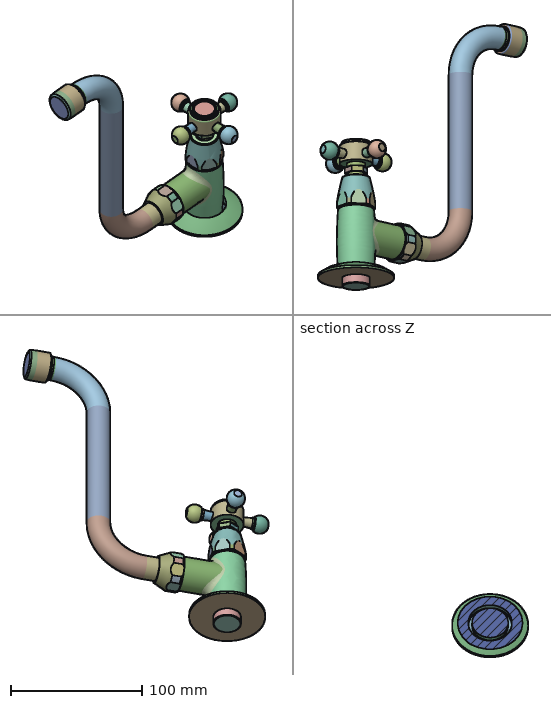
import cadquery as cq
import math


HANDLE_SPAN = 64.07
TOTAL_LENGTH = 190.44
TOTAL_HEIGHT = 233.8
HANDLE_REACH = HANDLE_SPAN / 2
SHANK_DEPTH = 6.7
SPOUT_END = TOTAL_LENGTH - HANDLE_REACH

SHANK_RADIUS = 10.6
SHANK_CHAMFER = 0.5
FLANGE_RADIUS = 29.1
FLANGE_RIM_HEIGHT = 1.9
FLANGE_HEIGHT = 8.0
FLANGE_HOLE_RADIUS = 16.5
FLANGE_HOLE_DEPTH = 7.0
FLANGE_BULGE = 0.9

BODY_FOOT_RADIUS = 13.8
BODY_WAIST_RADIUS = 14.7
BODY_SHOULDER_RADIUS = 13.9
BODY_TOP = 54.2

BONNET_FOOT = 55.6
BONNET_SHOULDER = 60.0
BONNET_TOP = 79.7
BONNET_RADIUS = 14.7
BONNET_MID_HEIGHT = 68.0
BONNET_MID_RADIUS = 13.3
BONNET_TOP_RADIUS = 10.8
BONNET_TOP_CHAMFER = 0.7
BONNET_FLAT_DISTANCE = 13.5

SPINDLE_RADIUS = 6.6
SPINDLE_NUT_FOOT = 82.9
SPINDLE_NUT_TOP = 87.3
SPINDLE_NUT_FLAT_DISTANCE = 7.6
SPINDLE_NECK_RADIUS = 7.2

HUB_RADIUS = 12.6
HUB_FOOT = 90.6
HUB_TOP = 105.2
HUB_FILLET = 0.8
CAP_NECK_RADIUS = 10.6
CAP_RADIUS = 11.1
CAP_FOOT = 105.7
CAP_TOP = 107.6
CAP_CHAMFER = 0.5
CAP_RECESS_RADIUS = 9.1
CAP_RECESS_FLOOR_RADIUS = 7.9
CAP_RECESS_DEPTH = 0.4

ARM_HEIGHT = 96.5
ARM_COUNT = 4
ARM_RADIUS = 4.1
ARM_ROOT_RADIUS = 3.7
ARM_MID_RADIUS = 3.8
BEAD_START = 18.7
BEAD_END = 21.3
BEAD_LAND = 0.6
BEAD_BULGE = 0.5
BALL_RADIUS = 7.1
BALL_FLAT_RADIUS = 3.1
BALL_CENTER = HANDLE_REACH - math.sqrt(BALL_RADIUS**2 - BALL_FLAT_RADIUS**2)

OUTLET_HEIGHT = 35.1
OUTLET_RADIUS = 13.3
OUTLET_BLEND = 5.0
BLEND_MARGIN = 1.0
NUT_START = 37.3
NUT_CHAMFER_END = 38.8
NUT_CONE_START = 46.0
NUT_END = 55.9
NUT_RADIUS = 15.1
NUT_START_RADIUS = 14.5
NUT_END_RADIUS = 10.6
NUT_FLAT_DISTANCE = 14.3

PIPE_RADIUS = 9.15
PIPE_BEND_RADIUS = 36.0
RISER_DISTANCE = 101.6
HEAD_RADIUS = 11.75
HEAD_HEIGHT = TOTAL_HEIGHT - SHANK_DEPTH - HEAD_RADIUS

HEAD_COLLAR_RADIUS = 9.7
HEAD_COLLAR_START = 139.0
HEAD_COLLAR_LIP = 1.5
HEAD_START = 141.7
HEAD_BACK_FILLET = 0.8
HEAD_CROWN_START = 152.8
HEAD_CROWN_END = 157.4
HEAD_CROWN_RADIUS = 11.4
HEAD_FACE_RADIUS = 9.6

HEX_SIDES = 6


def hexagon(flat_distance, height):
    """Hexagonal prism on the XY plane, two corners on X, flats at the given distance from its axis."""
    across_corners = 2 * flat_distance / math.cos(math.pi / HEX_SIDES)
    return cq.Workplane("XY").polygon(HEX_SIDES, across_corners).extrude(height)


def cylinder(radius, bottom, top):
    """Vertical cylinder on the Z axis."""
    return cq.Workplane("XY").workplane(offset=bottom).circle(radius).extrude(top - bottom)


def point_to_spout(shape, height):
    """Lay a shape built along +Z on its side, running to -Y at the given height."""
    return shape.rotate((0, 0, 0), (1, 0, 0), 90).translate((0, 0, height))


def make_flange():
    """Domed flange with a sunk ring around the body, and the shank below it."""
    dome_mid_radius = (FLANGE_RADIUS + FLANGE_HOLE_RADIUS) / 2
    dome_mid_height = (FLANGE_RIM_HEIGHT + FLANGE_HEIGHT) / 2 + FLANGE_BULGE
    dish = (
        cq.Workplane("XZ")
        .moveTo(0, 0)
        .lineTo(FLANGE_RADIUS, 0)
        .lineTo(FLANGE_RADIUS, FLANGE_RIM_HEIGHT)
        .threePointArc((dome_mid_radius, dome_mid_height), (FLANGE_HOLE_RADIUS, FLANGE_HEIGHT))
        .lineTo(FLANGE_HOLE_RADIUS, FLANGE_HEIGHT - FLANGE_HOLE_DEPTH)
        .lineTo(0, FLANGE_HEIGHT - FLANGE_HOLE_DEPTH)
        .close()
        .revolve(360, (0, 0, 0), (0, 1, 0))
    )
    shank = cylinder(SHANK_RADIUS, -SHANK_DEPTH, 0).faces("<Z").chamfer(SHANK_CHAMFER)
    return dish.union(shank)


def make_body():
    """Barrel body blended into the horizontal outlet tube."""
    foot = FLANGE_HEIGHT - FLANGE_HOLE_DEPTH
    barrel = (
        cq.Workplane("XZ")
        .moveTo(0, foot)
        .lineTo(BODY_FOOT_RADIUS, foot)
        .threePointArc((BODY_WAIST_RADIUS, OUTLET_HEIGHT), (BODY_SHOULDER_RADIUS, BODY_TOP))
        .lineTo(0, BODY_TOP)
        .close()
        .revolve(360, (0, 0, 0), (0, 1, 0))
    )
    outlet = point_to_spout(cylinder(OUTLET_RADIUS, 0, NUT_START), OUTLET_HEIGHT)
    blend_zone = cq.selectors.BoxSelector(
        (-BODY_WAIST_RADIUS, -BODY_WAIST_RADIUS, foot + BLEND_MARGIN),
        (BODY_WAIST_RADIUS, -BLEND_MARGIN, BODY_TOP - BLEND_MARGIN),
    )
    return barrel.union(outlet).edges(blend_zone).fillet(OUTLET_BLEND)


def make_bonnet():
    """Tapered bonnet whose lower part is cut by six flats, on a short round seat."""
    chamfer_foot = BONNET_TOP - BONNET_TOP_CHAMFER
    taper = (
        cq.Workplane("XZ")
        .moveTo(0, BONNET_FOOT)
        .lineTo(BONNET_RADIUS, BONNET_FOOT)
        .lineTo(BONNET_RADIUS, BONNET_SHOULDER)
        .threePointArc((BONNET_MID_RADIUS, BONNET_MID_HEIGHT), (BONNET_TOP_RADIUS, chamfer_foot))
        .lineTo(BONNET_TOP_RADIUS - BONNET_TOP_CHAMFER, BONNET_TOP)
        .lineTo(0, BONNET_TOP)
        .close()
        .revolve(360, (0, 0, 0), (0, 1, 0))
    )
    flats = hexagon(BONNET_FLAT_DISTANCE, BONNET_TOP)
    seat = cylinder(BONNET_FLAT_DISTANCE, BODY_TOP, BONNET_FOOT)
    return taper.intersect(flats).union(seat)


def make_spindle():
    """Spindle with a hexagonal nut, joining the bonnet to the handle hub."""
    spindle = cylinder(SPINDLE_RADIUS, BONNET_TOP, SPINDLE_NUT_FOOT)
    nut = hexagon(SPINDLE_NUT_FLAT_DISTANCE, SPINDLE_NUT_TOP - SPINDLE_NUT_FOOT)
    neck = cylinder(SPINDLE_NECK_RADIUS, SPINDLE_NUT_TOP, HUB_FOOT)
    return spindle.union(nut.translate((0, 0, SPINDLE_NUT_FOOT))).union(neck)


def make_arm():
    """One handle arm along +X: a rod, a bead and a ball with a flat tip."""
    waist = (HUB_RADIUS + BEAD_START) / 2
    bead_middle = (BEAD_START + BEAD_END) / 2
    bead_left = BEAD_START + BEAD_LAND
    bead_right = BEAD_END - BEAD_LAND
    ball_back_radius = math.sqrt(BALL_RADIUS**2 - (BALL_CENTER - BEAD_END) ** 2)
    return (
        cq.Workplane("XY")
        .moveTo(0, 0)
        .lineTo(0, ARM_ROOT_RADIUS)
        .lineTo(HUB_RADIUS, ARM_ROOT_RADIUS)
        .threePointArc((waist, ARM_MID_RADIUS), (BEAD_START, ARM_RADIUS))
        .lineTo(bead_left, ARM_RADIUS)
        .threePointArc((bead_middle, ARM_RADIUS + BEAD_BULGE), (bead_right, ARM_RADIUS))
        .lineTo(BEAD_END, ARM_RADIUS)
        .lineTo(BEAD_END, ball_back_radius)
        .threePointArc((BALL_CENTER, BALL_RADIUS), (HANDLE_REACH, BALL_FLAT_RADIUS))
        .lineTo(HANDLE_REACH, 0)
        .close()
        .revolve(360, (0, 0, 0), (1, 0, 0))
        .translate((0, 0, ARM_HEIGHT))
    )


def make_handle():
    """Cross handle: hub, capped top and four equal arms."""
    hub = cylinder(HUB_RADIUS, HUB_FOOT, HUB_TOP).faces(">Z").edges().fillet(HUB_FILLET)
    neck = cylinder(CAP_NECK_RADIUS, HUB_TOP, CAP_FOOT)
    cap = cylinder(CAP_RADIUS, CAP_FOOT, CAP_TOP).faces(">Z").chamfer(CAP_CHAMFER)
    recess = cq.Workplane("XY").add(
        cq.Solid.makeCone(
            CAP_RECESS_FLOOR_RADIUS,
            CAP_RECESS_RADIUS,
            CAP_RECESS_DEPTH,
            cq.Vector(0, 0, CAP_TOP - CAP_RECESS_DEPTH),
        )
    )
    handle = hub.union(neck).union(cap.cut(recess))
    arm = make_arm()
    for index in range(ARM_COUNT):
        turned_arm = arm.rotate((0, 0, 0), (0, 0, 1), index * 360 / ARM_COUNT)
        handle = handle.union(turned_arm)
    return handle


def make_coupling_nut():
    """Conical coupling nut with six flats, one of them facing up."""
    nut = (
        cq.Workplane("XZ")
        .moveTo(0, NUT_START)
        .lineTo(NUT_START_RADIUS, NUT_START)
        .lineTo(NUT_RADIUS, NUT_CHAMFER_END)
        .lineTo(NUT_RADIUS, NUT_CONE_START)
        .lineTo(NUT_END_RADIUS, NUT_END)
        .lineTo(0, NUT_END)
        .close()
        .revolve(360, (0, 0, 0), (0, 1, 0))
    )
    flats = hexagon(NUT_FLAT_DISTANCE, NUT_END)
    return point_to_spout(nut.intersect(flats), OUTLET_HEIGHT)


def make_pipe():
    """Round pipe swept along the S-shaped path from the nut to the spout head."""
    bend = PIPE_BEND_RADIUS
    arc_inset = bend * (1 - math.sqrt(0.5))
    path = (
        cq.Workplane("YZ")
        .moveTo(-NUT_END, OUTLET_HEIGHT)
        .lineTo(-RISER_DISTANCE + bend, OUTLET_HEIGHT)
        .threePointArc(
            (-RISER_DISTANCE + arc_inset, OUTLET_HEIGHT + arc_inset),
            (-RISER_DISTANCE, OUTLET_HEIGHT + bend),
        )
        .lineTo(-RISER_DISTANCE, HEAD_HEIGHT - bend)
        .threePointArc(
            (-RISER_DISTANCE - arc_inset, HEAD_HEIGHT - arc_inset),
            (-RISER_DISTANCE - bend, HEAD_HEIGHT),
        )
        .lineTo(-HEAD_COLLAR_START, HEAD_HEIGHT)
    )
    start = cq.Workplane("XZ", origin=(0, -NUT_END, OUTLET_HEIGHT))
    return start.circle(PIPE_RADIUS).sweep(path)


def make_head():
    """Spout head: a slightly flared collar and an end piece with a crowned, bevelled rim."""
    collar_lip = HEAD_COLLAR_START + HEAD_COLLAR_LIP
    collar = (
        cq.Workplane("XZ")
        .moveTo(0, HEAD_COLLAR_START)
        .lineTo(PIPE_RADIUS, HEAD_COLLAR_START)
        .lineTo(HEAD_COLLAR_RADIUS, collar_lip)
        .lineTo(HEAD_COLLAR_RADIUS, HEAD_START)
        .lineTo(0, HEAD_START)
        .close()
        .revolve(360, (0, 0, 0), (0, 1, 0))
    )
    end_piece = (
        cq.Workplane("XZ")
        .moveTo(0, HEAD_START)
        .lineTo(HEAD_RADIUS, HEAD_START)
        .lineTo(HEAD_RADIUS, HEAD_CROWN_START)
        .tangentArcPoint((HEAD_CROWN_RADIUS, HEAD_CROWN_END), relative=False)
        .lineTo(HEAD_FACE_RADIUS, SPOUT_END)
        .lineTo(0, SPOUT_END)
        .close()
        .revolve(360, (0, 0, 0), (0, 1, 0))
    )
    end_piece = end_piece.faces("<Z").edges().fillet(HEAD_BACK_FILLET)
    return point_to_spout(collar.union(end_piece), HEAD_HEIGHT)


result = (
    make_flange()
    .union(make_body())
    .union(make_bonnet())
    .union(make_spindle())
    .union(make_handle())
    .union(make_coupling_nut())
    .union(make_pipe())
    .union(make_head())
)